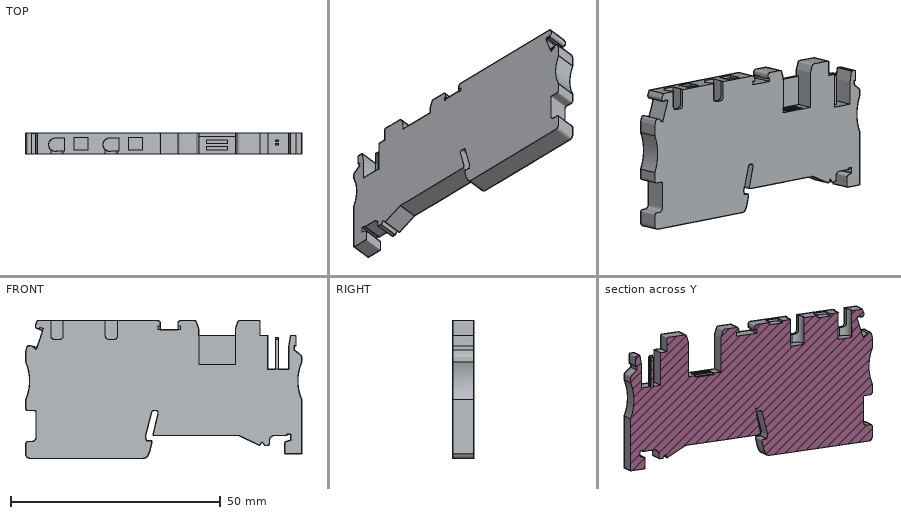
import cadquery as cq
import math

LENGTH = 66.0
THICKNESS = 5.1
HEIGHT = 33.0

POCKET_BACK_WALL = 0.85
UNDERCUT_BACK_WALL = 0.2
UNDERCUT_DEPTH = THICKNESS - UNDERCUT_BACK_WALL
RAIL_FACE_Z = 5.5
SHOULDER_Z = 29.45
EDGE_R = 0.3
TIGHT_R = 0.2

FOOT_NOTCH_DEPTH = 2.45
FOOT_NOTCH_Z0 = 4.1
FOOT_NOTCH_Z1 = 11.4
FOOT_R = 1.05
FOOT_TOP_R = 0.6
FOOT_NOTCH_R = 0.9
GRIP_Z = 18.55
GRIP_CHORD = 9.0
GRIP_DEPTH = 0.9
LEFT_SHELF_Z = 27.1
LEFT_SHELF_R = 0.6
LEFT_SHELF_END = (2.7, 26.6)
LEFT_SLANT_Z = 25.6
LEFT_SLANT_X = 0.4
LIP_TOP_X = 2.8
LIP_NOSE = (2.0, 31.1)
LIP_NOSE_R = 0.7
LIP_MOUTH = (3.1, 30.95)
LIP_ROOT = (4.0, 30.5)
LIP_GROOVE_Z = 31.0
LIP_GROOVE_ROOF = ((3.35, 31.3), (3.9, 31.2))
SHELF_GROOVE_Z = 26.1
SHELF_GROOVE_START = (1.4, 26.9)

LABEL_X0 = 32.2
LABEL_X1 = 36.35
LABEL_FLOOR_Z = 30.8
LABEL_EDGE_R = 0.7
LABEL_UNDERCUT = 0.6
LABEL_UNDERCUT_HEIGHT = 0.8

PLUG_X0 = 41.4
PLUG_X1 = 50.1
PLUG_FLOOR_Z = 22.5
HUMP_SLANT_X = 0.65
HUMP_SLANT_Z0 = 30.95
HUMP_R = 0.65
CONTACT_SLOT_LENGTH = 4.95
CONTACT_SLOT_WIDTH = 0.8
CONTACT_SLOT_DEPTH = 0.4
CONTACT_SLOT_YS = (1.4, 3.0)

HUMP_END_X = 56.05
BAY_X0 = 57.9
BAY_X1 = 62.8
BAY_FLOOR_Z = 21.4
LATCH_TAPER_Z = 26.7
LATCH_TIP_X0 = 63.3
LATCH_TIP_X1 = 64.6
LATCH_STEP_Z = 26.9
LATCH_NECK_X = 64.2
LATCH_NECK_Z = 25.95
RIGHT_SHOULDER_Z = 24.55
RIGHT_SHOULDER_R = 0.8
PIN_X0 = 59.65
PIN_WIDTH = 0.8
PIN_THICKNESS = 0.4
PIN_TOP_Z = 28.9
PIN_SLOPE_DROP = 0.45
PIN_ROOT = 0.3
PIN_FRONT_YS = (2.2, 3.0)

RIGHT_FOOT_Z = 1.1
RIGHT_FOOT_X = 61.9
FOOT_HOOK_Z = 3.95
FOOT_HOOK_X = 63.3
FOOT_HOOK_ROOT_Z = 4.4
FOOT_GROOVE_Z = 5.75
FOOT_GROOVE_X = 62.45
TOOTH_X = 58.3
TOOTH_BASE_R = 1.2
TOOTH_Z = 3.1
TOOTH_R = 0.45
TOOTH_INNER_X = 57.15
TEETH_GAP = (56.5, 3.95)
POINT_X = 55.9
RAMP_START_X = 50.95

SLIT_BOTTOM_X1 = 30.35
SLIT_TOP_X0 = 30.2
SLIT_TOP_X1 = 31.75
SLIT_TOP_R = 0.45
SLIT_BOTTOM_X0 = 28.65
SLIT_KNEE_Z = 5.3
HEEL_X0 = 28.9
HEEL_X1 = 30.3
HEEL_Z = 4.3
HEEL_BEND = (29.7, 1.7)
HEEL_BEND_R = 3.3
HEEL_BOTTOM = (28.9, 0.0)
HEEL_BOTTOM_R = 1.3

ENTRY_PITCH = 13.0
ENTRY_COUNT = 2
FUNNEL_X = 7.05
FUNNEL_Y = 2.25
FUNNEL_R = 1.6
FUNNEL_RIGHT_X = 9.3
FUNNEL_Y0 = 0.8
FUNNEL_DEPTH = 6.6
SIDE_SLOT_X0 = 6.0
SIDE_SLOT_X1 = 9.0
SIDE_SLOT_DEPTH = 4.55
SIDE_SLOT_R = 0.9
RELEASE_X0 = 11.55
RELEASE_X1 = 14.9
RELEASE_Y0 = 1.0
RELEASE_Y1 = 3.95
RELEASE_DEPTH = 0.5


def box(x0, x1, y0, y1, z0, z1):
    """Axis-aligned block between two opposite corners."""
    return cq.Workplane("XY").box(x1 - x0, y1 - y0, z1 - z0, centered=False).translate((x0, y0, z0))


def prism(points, depth):
    """Closed XZ polygon extruded from the front face toward +Y."""
    return cq.Workplane("XZ").polyline(points).close().extrude(-depth)


def rounded_prism(corners, depth):
    """Like prism, but each corner is (x, z, radius) and is rounded when radius > 0."""
    path = cq.Workplane("XZ")
    count = len(corners)
    for i, (x, z, radius) in enumerate(corners):
        corner = cq.Vector(x, z)
        to_last = (cq.Vector(*corners[i - 1][:2]) - corner).normalized()
        to_next = (cq.Vector(*corners[(i + 1) % count][:2]) - corner).normalized()
        half_angle = to_last.getAngle(to_next) / 2
        setback = radius / math.tan(half_angle)
        start = corner + to_last * setback
        path = path.moveTo(start.x, start.y) if i == 0 else path.lineTo(start.x, start.y)
        if radius > 0:
            bisector = (to_last + to_next).normalized()
            middle = corner + bisector * (radius / math.sin(half_angle) - radius)
            end = corner + to_next * setback
            path = path.threePointArc((middle.x, middle.y), (end.x, end.y))
    return path.close().extrude(-depth)


def left_end():
    return [
        (0, 0, FOOT_R),
        (0, FOOT_NOTCH_Z0, FOOT_TOP_R),
        (FOOT_NOTCH_DEPTH, FOOT_NOTCH_Z0, FOOT_NOTCH_R),
        (FOOT_NOTCH_DEPTH, FOOT_NOTCH_Z1, EDGE_R),
        (0, FOOT_NOTCH_Z1, FOOT_TOP_R),
        (0, LEFT_SLANT_Z, 0),
        (LEFT_SLANT_X, LEFT_SHELF_Z, LEFT_SHELF_R),
        (*LEFT_SHELF_END, 0),
        (*LIP_ROOT, 0),
        (*LIP_MOUTH, 0),
        (*LIP_NOSE, LIP_NOSE_R),
        (LIP_TOP_X, HEIGHT, 0),
    ]


def top_edge():
    return [
        (LABEL_X0, HEIGHT, LABEL_EDGE_R),
        (LABEL_X0, LABEL_FLOOR_Z, 0),
        (LABEL_X1, LABEL_FLOOR_Z, 0),
        (LABEL_X1, HEIGHT, LABEL_EDGE_R),
        (PLUG_X0 - HUMP_SLANT_X, HEIGHT, HUMP_R),
        (PLUG_X0, HUMP_SLANT_Z0, 0),
        (PLUG_X0, SHOULDER_Z, 0),
        (PLUG_X1, SHOULDER_Z, 0),
        (PLUG_X1, HUMP_SLANT_Z0, 0),
        (PLUG_X1 + HUMP_SLANT_X, HEIGHT, HUMP_R),
        (HUMP_END_X, HEIGHT, EDGE_R),
        (HUMP_END_X, SHOULDER_Z, 0),
    ]


def right_end():
    return [
        (BAY_X0, SHOULDER_Z, 0),
        (BAY_X0, BAY_FLOOR_Z, 0),
        (BAY_X1, BAY_FLOOR_Z, 0),
        (BAY_X1, LATCH_TAPER_Z, 0),
        (LATCH_TIP_X0, SHOULDER_Z, 0),
        (LATCH_TIP_X1, SHOULDER_Z, EDGE_R),
        (LATCH_TIP_X1, LATCH_STEP_Z, 0),
        (LATCH_NECK_X, LATCH_STEP_Z, 0),
        (LATCH_NECK_X, LATCH_NECK_Z, 0),
        (LENGTH, RIGHT_SHOULDER_Z, RIGHT_SHOULDER_R),
        (LENGTH, RIGHT_FOOT_Z, TIGHT_R),
    ]


def underside():
    return [
        (RIGHT_FOOT_X, RIGHT_FOOT_Z, TIGHT_R),
        (RIGHT_FOOT_X, FOOT_HOOK_Z, EDGE_R),
        (FOOT_HOOK_X, FOOT_HOOK_ROOT_Z, 0),
        (FOOT_HOOK_X, FOOT_GROOVE_Z, 0),
        (FOOT_GROOVE_X, FOOT_GROOVE_Z, 0),
        (FOOT_GROOVE_X, RAIL_FACE_Z, 0),
        (TOOTH_X, RAIL_FACE_Z, TOOTH_BASE_R),
        (TOOTH_X, TOOTH_Z, TOOTH_R),
        (TOOTH_INNER_X, TOOTH_Z, 0),
        (*TEETH_GAP, 0),
        (POINT_X, TOOTH_Z, 0),
        (RAMP_START_X, RAIL_FACE_Z, 0),
        (SLIT_BOTTOM_X1, RAIL_FACE_Z, EDGE_R),
        (SLIT_TOP_X1, FOOT_NOTCH_Z1, SLIT_TOP_R),
        (SLIT_TOP_X0, FOOT_NOTCH_Z1, SLIT_TOP_R),
        (SLIT_BOTTOM_X0, SLIT_KNEE_Z, EDGE_R),
        (HEEL_X0, HEEL_Z, 0),
        (HEEL_X1, HEEL_Z, EDGE_R),
        (*HEEL_BEND, HEEL_BEND_R),
        (*HEEL_BOTTOM, HEEL_BOTTOM_R),
    ]


def grip_hollow(face_x, inward):
    """Shallow cylindrical finger hollow across an end face; inward is +1 or -1 along X."""
    radius = (GRIP_CHORD**2 / 4 + GRIP_DEPTH**2) / (2 * GRIP_DEPTH)
    centre_x = face_x - inward * (radius - GRIP_DEPTH)
    return cq.Workplane("XZ").center(centre_x, GRIP_Z).circle(radius).extrude(-THICKNESS)


def label_undercuts():
    top_z = LABEL_FLOOR_Z + LABEL_UNDERCUT_HEIGHT
    left = box(LABEL_X0 - LABEL_UNDERCUT, LABEL_X0, 0, UNDERCUT_DEPTH, LABEL_FLOOR_Z, top_z)
    right = box(LABEL_X1, LABEL_X1 + LABEL_UNDERCUT, 0, UNDERCUT_DEPTH, LABEL_FLOOR_Z, top_z)
    return left.union(right)


def lip_undercuts():
    """Relief grooves that extend the slanted seat into the lip above and the shelf below."""
    seat_run = (LIP_ROOT[0] - LEFT_SHELF_END[0]) / (LIP_ROOT[1] - LEFT_SHELF_END[1])
    upper_seat = (LIP_ROOT[0] + seat_run * (LIP_GROOVE_Z - LIP_ROOT[1]), LIP_GROOVE_Z)
    lower_seat = (LIP_ROOT[0] + seat_run * (SHELF_GROOVE_Z - LIP_ROOT[1]), SHELF_GROOVE_Z)
    upper = prism([LIP_ROOT, LIP_MOUTH, *LIP_GROOVE_ROOF, upper_seat], UNDERCUT_DEPTH)
    lower = prism([LEFT_SHELF_END, SHELF_GROOVE_START, lower_seat], UNDERCUT_DEPTH)
    return upper.union(lower)


def plug_pocket():
    pocket = box(PLUG_X0, PLUG_X1, 0, THICKNESS - POCKET_BACK_WALL, PLUG_FLOOR_Z, SHOULDER_Z)
    slot_x0 = (PLUG_X0 + PLUG_X1 - CONTACT_SLOT_LENGTH) / 2
    for y in CONTACT_SLOT_YS:
        slot = box(
            slot_x0, slot_x0 + CONTACT_SLOT_LENGTH,
            y - CONTACT_SLOT_WIDTH / 2, y + CONTACT_SLOT_WIDTH / 2,
            PLUG_FLOOR_Z - CONTACT_SLOT_DEPTH, PLUG_FLOOR_Z,
        )
        pocket = pocket.union(slot)
    return pocket


def wire_entry():
    """Funnel with a slot to the front face, and the square release recess beside it."""
    floor_z = HEIGHT - FUNNEL_DEPTH
    back_y = FUNNEL_Y + FUNNEL_R
    round_side = (
        cq.Workplane("XY", origin=(FUNNEL_X, FUNNEL_Y, floor_z)).circle(FUNNEL_R).extrude(FUNNEL_DEPTH)
    )
    square_side = box(FUNNEL_X, FUNNEL_RIGHT_X, FUNNEL_Y0, back_y, floor_z, HEIGHT)
    side_slot = (
        box(SIDE_SLOT_X0, SIDE_SLOT_X1, 0, FUNNEL_Y, HEIGHT - SIDE_SLOT_DEPTH, HEIGHT)
        .edges("|Y and <Z").fillet(SIDE_SLOT_R)
    )
    release = box(RELEASE_X0, RELEASE_X1, RELEASE_Y0, RELEASE_Y1, HEIGHT - RELEASE_DEPTH, HEIGHT)
    return round_side.union(square_side).union(side_slot).union(release)


def pin(front_y):
    """Flat contact pin whose top slopes down toward the front; rooted below the bay floor."""
    back_y = front_y + PIN_THICKNESS
    outline = [
        (front_y, BAY_FLOOR_Z - PIN_ROOT),
        (back_y, BAY_FLOOR_Z - PIN_ROOT),
        (back_y, PIN_TOP_Z),
        (front_y, PIN_TOP_Z - PIN_SLOPE_DROP),
    ]
    return cq.Workplane("YZ", origin=(PIN_X0, 0, 0)).polyline(outline).close().extrude(PIN_WIDTH)


result = rounded_prism(left_end() + top_edge() + right_end() + underside(), THICKNESS)
result = result.cut(grip_hollow(0, 1))
result = result.cut(grip_hollow(LENGTH, -1))
result = result.cut(label_undercuts()).cut(lip_undercuts()).cut(plug_pocket())

for index in range(ENTRY_COUNT):
    result = result.cut(wire_entry().translate((index * ENTRY_PITCH, 0, 0)))

for pin_y in PIN_FRONT_YS:
    result = result.union(pin(pin_y))